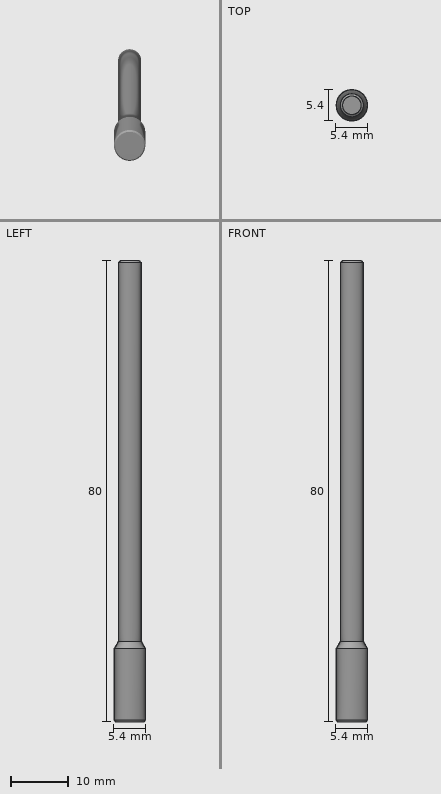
import cadquery as cq

total_length = 80.0
rod_diameter = 4.0
head_diameter = 5.4
head_length = 14.0
shoulder_height = 1.3
rod_tip_chamfer = 0.4
head_end_chamfer_height = 0.4
head_end_chamfer_width = 0.2

rod_radius = rod_diameter / 2
head_radius = head_diameter / 2
rod_length = total_length - head_length


def make_head():
    """Thick lower cylinder, tapering at its top to the rod diameter."""
    profile = [
        (0, 0),
        (head_radius - head_end_chamfer_width, 0),
        (head_radius, head_end_chamfer_height),
        (head_radius, head_length - shoulder_height),
        (rod_radius, head_length),
        (0, head_length),
    ]
    return cq.Workplane("XZ").polyline(profile).close().revolve(360, (0, 0), (0, 1))


def make_rod():
    """Slender rod standing on the head, chamfered at its free end."""
    rod = cq.Workplane("XY").workplane(offset=head_length).circle(rod_radius).extrude(rod_length)
    return rod.faces(">Z").edges().chamfer(rod_tip_chamfer)


head = make_head()
rod = make_rod()

result = cq.Compound.makeCompound([head.val(), rod.val()])